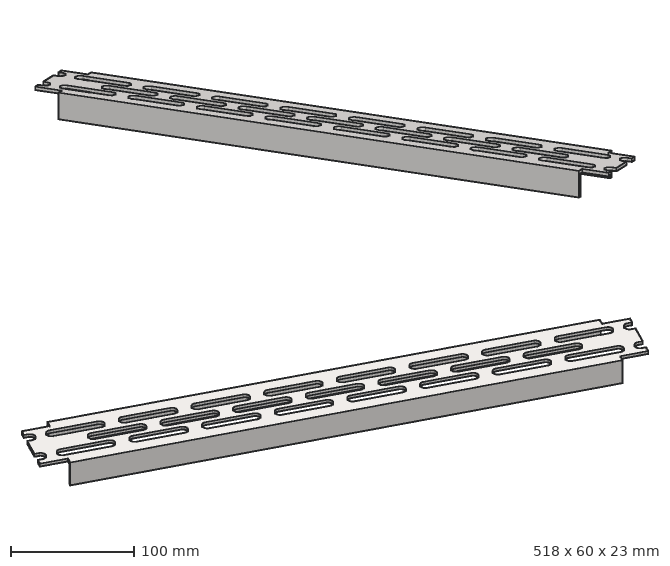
import cadquery as cq

length = 518.0
width = 60.0
height = 23.0
thickness = 3.0

tab_length = 24.0
tab_width = 48.0
flange_length = length - 2 * tab_length

slot_length = 49.5
slot_width = 9.0
row_pitch = 14.0
outer_row_count = 8
middle_row_count = outer_row_count - 1
outer_row_length = 483.0
slot_pitch = (outer_row_length - slot_length) / (outer_row_count - 1)

notch_depth = 8.5


def make_channel():
    """Inverted U channel with its top face at Z = height."""
    body = cq.Workplane("XY").box(flange_length, width, height, centered=(True, True, False))
    cavity = cq.Workplane("XY").box(
        flange_length, width - 2 * thickness, height - thickness, centered=(True, True, False)
    )
    return body.cut(cavity)


def make_tabs():
    """Narrow plate running the full length, level with the web."""
    return (
        cq.Workplane("XY")
        .workplane(offset=height - thickness)
        .rect(length, tab_width)
        .extrude(thickness)
    )


def slot_row(count, y):
    """Cutter for a row of slots centred on X = 0."""
    return (
        cq.Workplane("XY")
        .center(0, y)
        .rarray(slot_pitch, 5, count, 1)
        .slot2D(slot_length, slot_width)
        .extrude(height)
    )


def notch_pair(y):
    """Cutter for the notches at both tab ends, each centred on the end edge."""
    return (
        cq.Workplane("XY")
        .center(0, y)
        .rarray(length, 5, 2, 1)
        .slot2D(2 * notch_depth, slot_width)
        .extrude(height)
    )


web_and_flanges = make_channel().union(make_tabs())
result = web_and_flanges.cut(slot_row(middle_row_count, 0))
for row_y in (-row_pitch, row_pitch):
    result = result.cut(slot_row(outer_row_count, row_y)).cut(notch_pair(row_y))